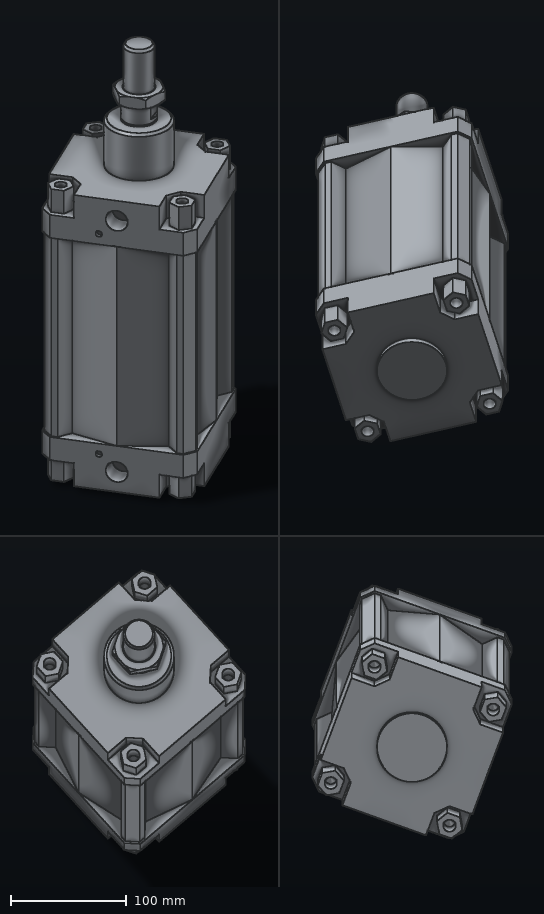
import cadquery as cq
import math

total_height = 410.0
spigot_height = 5.7
cap_height = 45.0
front_cap_top = 291.0
gland_top = 336.5

cap_width = 140.0
corner_chamfer = 10.0
pocket_inner = 38.5
pocket_depth = 22.5
pocket_chamfer = 10.2

tie_spacing = 109.5
tie_across_flats = 20.0
tie_hole_diameter = 10.5
tie_hole_depth = 20.5
drill_tip_angle = 118.0

port_diameter = 19.5
port_depth = 20.5
port_offset = 19.5
screw_hole_diameter = 5.7
screw_hole_depth = 4.0
screw_hole_offset = 35.0
screw_hole_x = -16.0

barrel_half_width = 68.0
barrel_corner = 59.5
groove_outer = 53.7
groove_inner = 43.5
groove_depth = 10.2
ridge_half_width = 69.5

gland_diameter = 60.5
gland_chamfer = 2.5
bore_depth = 20.5
rod_diameter = 32.0
neck_chamfer = 1.2
mouth_angle = 45.0
thread_diameter = 27.0
rod_chamfer_length = 3.0
rod_chamfer_width = 1.5
wrench_flat_width = 27.5
wrench_flat_bottom = 342.0
rod_turn = -4.0

nut_bottom = 356.3
nut_height = 11.0
nut_across_flats = 41.0
nut_face_diameter = 42.0
nut_chamfer_angle = 30.0
nut_countersink = 1.0

barrel_bottom = spigot_height + cap_height
barrel_top = front_cap_top - cap_height
neck_diameter = rod_diameter - 2 * neck_chamfer
rod_bottom = gland_top - bore_depth


def hexagon(across_flats, height):
    """Hexagonal prism on the XY plane with two corners on the X axis."""
    return cq.Workplane("XY").polygon(6, across_flats / math.cos(math.pi / 6)).extrude(height)


def cylinder(diameter, bottom, top):
    return cq.Workplane("XY").workplane(offset=bottom).circle(diameter / 2).extrude(top - bottom)


def tie_nut():
    """Tie-rod nut standing on z = 0, with a blind hole ending in a drill tip."""
    radius = tie_hole_diameter / 2
    tip_height = radius / math.tan(math.radians(drill_tip_angle / 2))
    hole_bottom = pocket_depth - tie_hole_depth
    hole = (
        cq.Workplane("XZ")
        .moveTo(0, pocket_depth)
        .lineTo(radius, pocket_depth)
        .lineTo(radius, hole_bottom)
        .lineTo(0, hole_bottom - tip_height)
        .close()
        .revolve(360, (0, 0, 0), (0, 1, 0))
    )
    return hexagon(tie_across_flats, pocket_depth), hole


def corner_pocket():
    """Pocket cutter for the (+X, +Y) corner, standing on z = 0."""
    size = cap_width / 2 - pocket_inner
    return (
        cq.Workplane("XY")
        .box(size, size, pocket_depth, centered=False)
        .edges("|Z and <X and <Y")
        .chamfer(pocket_chamfer)
        .translate((pocket_inner, pocket_inner, 0))
    )


def end_cap():
    """End cap with its inner face on z = 0 and its outer face on top."""
    cap = (
        cq.Workplane("XY")
        .rect(cap_width, cap_width)
        .extrude(cap_height)
        .edges("|Z")
        .chamfer(corner_chamfer)
    )
    floor = cap_height - pocket_depth
    pocket = corner_pocket().translate((0, 0, floor))
    nut, hole = tie_nut()
    nut_place = (tie_spacing / 2, tie_spacing / 2, floor)
    for turn in range(4):
        angle = 90 * turn
        cap = cap.cut(pocket.rotate((0, 0, 0), (0, 0, 1), angle))
        cap = cap.union(nut.translate(nut_place).rotate((0, 0, 0), (0, 0, 1), angle))
        cap = cap.cut(hole.translate(nut_place).rotate((0, 0, 0), (0, 0, 1), angle))
    return cap


def side_hole(diameter, depth, x, z):
    """Cutter for a blind hole in the -Y face."""
    return (
        cq.Workplane("XZ", origin=(0, -cap_width / 2, 0))
        .center(x, z)
        .circle(diameter / 2)
        .extrude(-depth)
    )


def barrel():
    """Profiled tube body: four identical sides, each with a shallow central ridge."""
    groove_floor = barrel_half_width - groove_depth
    side = [
        (-barrel_corner, barrel_half_width),
        (-groove_outer, barrel_half_width),
        (-groove_inner, groove_floor),
        (0, ridge_half_width),
        (groove_inner, groove_floor),
        (groove_outer, barrel_half_width),
        (barrel_corner, barrel_half_width),
    ]
    outline = []
    for _ in range(4):
        outline += side
        side = [(y, -x) for x, y in side]
    return (
        cq.Workplane("XY")
        .workplane(offset=barrel_bottom)
        .polyline(outline)
        .close()
        .extrude(barrel_top - barrel_bottom)
    )


def make_housing():
    front_cap = end_cap().translate((0, 0, barrel_top))
    rear_cap = end_cap().mirror("XY").translate((0, 0, barrel_bottom))
    gland = cylinder(gland_diameter, front_cap_top, gland_top).faces(">Z").chamfer(gland_chamfer)
    spigot = cylinder(gland_diameter, 0, spigot_height)
    body = barrel().union(front_cap).union(rear_cap).union(gland).union(spigot)

    for outer_end, inward in ((front_cap_top, -1), (spigot_height, 1)):
        port_z = outer_end + inward * port_offset
        screw_z = outer_end + inward * screw_hole_offset
        body = body.cut(side_hole(port_diameter, port_depth, 0, port_z))
        body = body.cut(side_hole(screw_hole_diameter, screw_hole_depth, screw_hole_x, screw_z))

    bore = cylinder(neck_diameter, rod_bottom, gland_top)
    mouth = (
        cq.Workplane("XY")
        .workplane(offset=gland_top)
        .circle(rod_diameter / 2)
        .extrude(-neck_chamfer, taper=mouth_angle)
    )
    return body.cut(bore).cut(mouth).solids().val()


def make_rod():
    """Piston rod: neck in the gland, rod end with two wrench flats, then the thread."""
    neck = cylinder(neck_diameter, rod_bottom, gland_top)
    rod_end = cylinder(rod_diameter, gland_top, nut_bottom).faces("<Z").chamfer(neck_chamfer)
    thread = cylinder(thread_diameter, nut_bottom, total_height)
    thread = thread.faces(">Z").chamfer(rod_chamfer_length, rod_chamfer_width)

    flat_height = nut_bottom - wrench_flat_bottom
    flat_stock = (
        cq.Workplane("XY")
        .workplane(offset=wrench_flat_bottom)
        .rect(2 * rod_diameter, 2 * rod_diameter)
        .rect(wrench_flat_width, 2 * rod_diameter)
        .extrude(flat_height)
    )
    rod_end = rod_end.cut(flat_stock)
    rod = neck.union(rod_end).union(thread)
    return rod.rotate((0, 0, 0), (0, 0, 1), rod_turn).solids().val()


def make_nut():
    """Hex lock nut with its corners turned down on both faces."""
    face_radius = nut_face_diameter / 2
    corner_radius = nut_across_flats / 2 / math.cos(math.pi / 6)
    drop = (corner_radius - face_radius) * math.tan(math.radians(nut_chamfer_angle))
    turned_envelope = (
        cq.Workplane("XZ")
        .moveTo(0, 0)
        .lineTo(face_radius, 0)
        .lineTo(corner_radius, drop)
        .lineTo(corner_radius, nut_height - drop)
        .lineTo(face_radius, nut_height)
        .lineTo(0, nut_height)
        .close()
        .revolve(360, (0, 0, 0), (0, 1, 0))
    )
    nut = (
        hexagon(nut_across_flats, nut_height)
        .intersect(turned_envelope)
        .cut(cylinder(thread_diameter, 0, nut_height))
        .edges(cq.selectors.RadiusNthSelector(0))
        .chamfer(nut_countersink)
    )
    return nut.translate((0, 0, nut_bottom)).solids().val()


housing = make_housing()
rod = make_rod()
lock_nut = make_nut()

result = cq.Compound.makeCompound([housing, rod, lock_nut])